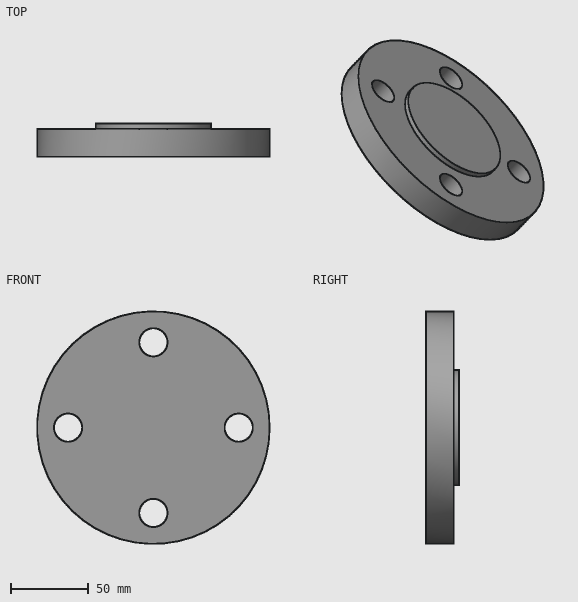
import cadquery as cq

flange_diameter = 150.0
flange_thickness = 18.0

overall_depth = 21.5
raised_face_diameter = 74.5
raised_face_height = overall_depth - flange_thickness

hole_count = 4
hole_diameter = 18.0
bolt_circle_diameter = 110.0
first_hole_angle = 0
full_turn = 360

flange = cq.Workplane("XZ").circle(flange_diameter / 2).extrude(-flange_thickness)

raised_face = (
    cq.Workplane("XZ", origin=(0, flange_thickness, 0))
    .circle(raised_face_diameter / 2)
    .extrude(-raised_face_height)
)

bolt_holes = (
    cq.Workplane("XZ")
    .polarArray(bolt_circle_diameter / 2, first_hole_angle, full_turn, hole_count)
    .circle(hole_diameter / 2)
    .extrude(-flange_thickness)
)

result = flange.union(raised_face).cut(bolt_holes)